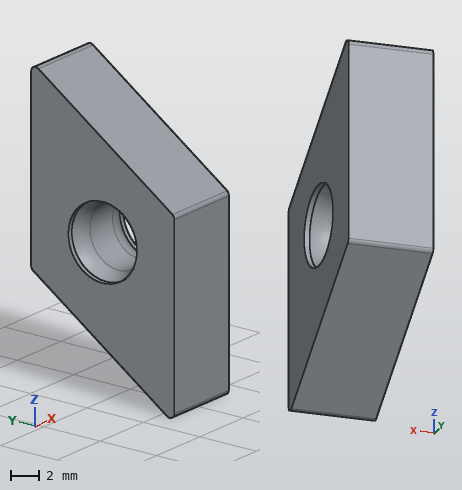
import cadquery as cq
import math

thickness = 6.35
inscribed_diameter = 12.7
corner_angle = math.radians(55)
overall_height = 23.65
hole_diameter = 5.15
hole_mouth_diameter = 6.08
mouth_depth = 0.4
flare_length = 1.45

side = inscribed_diameter / math.sin(corner_angle)
half_width = inscribed_diameter / 2
acute_height = side * (1 + math.cos(corner_angle)) / 2
obtuse_height = acute_height - side

tip_loss_ratio = 1 / math.tan(corner_angle / 2) - 1
corner_radius = (acute_height - overall_height / 2) / tip_loss_ratio


def rhombic_plate():
    corners = [
        (half_width, acute_height),
        (half_width, obtuse_height),
        (-half_width, -acute_height),
        (-half_width, -obtuse_height),
    ]
    plate = cq.Workplane("YZ").polyline(corners).close().extrude(thickness / 2, both=True)
    return plate.edges("|X").fillet(corner_radius)


def flared_hole():
    """Through hole along X: a short straight mouth on each face, rounded smoothly into the throat."""
    half_thickness = thickness / 2
    mouth_end = half_thickness - mouth_depth
    throat_end = mouth_end - flare_length
    throat_radius = hole_diameter / 2
    mouth_radius = hole_mouth_diameter / 2
    flare_drop = mouth_radius - throat_radius
    flare_radius = (flare_length**2 + flare_drop**2) / (2 * flare_drop)
    half_profile = (
        cq.Workplane("XZ")
        .moveTo(-half_thickness, 0)
        .lineTo(-half_thickness, -mouth_radius)
        .lineTo(-mouth_end, -mouth_radius)
        .radiusArc((-throat_end, -throat_radius), flare_radius)
        .lineTo(throat_end, -throat_radius)
        .radiusArc((mouth_end, -mouth_radius), flare_radius)
        .lineTo(half_thickness, -mouth_radius)
        .lineTo(half_thickness, 0)
        .close()
    )
    return half_profile.revolve(360, (0, 0, 0), (1, 0, 0))


result = rhombic_plate().cut(flared_hole())